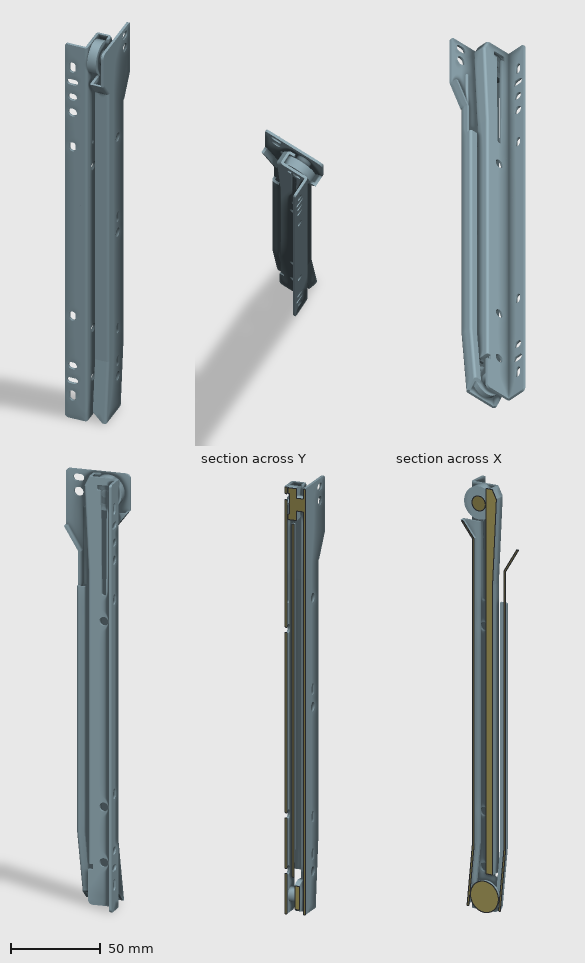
import cadquery as cq
import math

length = 250.0
depth = 24.8
sheet = 1.5
bend_radius = sheet

web_x = 12.0
rail_bottom = 3.0
rail_top = 21.0
ramp_start_z = 193.5
ramp_peak = (23.5, 244.5)
ramp_end_y = 20.8
runner_end_x = 21.0
lip_bottom = 16.2
runner_start_z = 23.8
notch_bottom = (18.2, 20.5)
web_corner_radius = 2.5
flange_top_radius = 1.5
flange_bottom_radius = 2.2

slot_x = 4.8
slot_width = 3.8
slot_length = 6.8
short_slot_length = 6.0
upright_slots = [
    (235.0, slot_length),
    (182.0, short_slot_length),
    (68.5, short_slot_length),
    (15.2, slot_length),
]
level_slot_zs = [225.2, 25.2]
oval_zs = [215.2, 35.2]
oval_length = 5.2
oval_width = 4.5
round_hole_z = 205.0
round_hole_diameter = 5.2

web_hole_y = 11.8
web_hole_zs = [166.2, 57.8, 25.2]
web_hole_diameter = 5.2

keyway_y = web_hole_y
keyway_bottom_z = 181.2
keyway_bottom_width = 2.8
keyway_top_width = 3.8
keyway_head_width = 8.2
keyway_head_bottom_z = 242.5
keyway_head_top_z = 245.8
keyway_head_radius = 0.8

channel_x = 16.5
channel_bottom = 7.5
channel_top = 29.5
cabinet_start_z = 0.8
taper = 3.8
taper_end_z = 40.0
flare_start_z = 219.0
flare_end_z = 228.8
lower_lip = 3.8
upper_lip = 4.8
upper_lip_end_z = 183.8
end_cut_height = 5.8
end_cut_width = 6.0

plate_top = 38.0
head_corner_z = 217.2
head_slope_end_z = 203.2
head_top_radius = 2.0
head_bottom_radius = 3.0
head_flange_x = 19.5

rib_y = 26.2
rib_radius = 1.2
rib_top_z = 229.5

head_hole_y = 30.5
head_slot_z = 245.2
head_slot_length = 6.5
head_slot_width = 4.2
head_hole_z = 237.0
head_hole_diameter = 5.5

plate_hole_y = 20.2
plate_hole_zs = [183.2, 119.5, 23.2]
plate_hole_diameter = 5.5
plate_slot_zs = [129.8, 55.2, 33.2]
plate_slot_width = 3.0
plate_slot_length = 6.5

cabinet_wheel_at = (keyway_y, 240.2)
cabinet_wheel_radius = 9.8
cabinet_wheel_x = (14.0, 19.2)
cabinet_axle_radius = 4.5
wheel_recess_radius = 6.2
wheel_recess_depth = 0.8
axle_end_radius = 2.2

drawer_wheel_at = (15.5, 10.2)
drawer_wheel_radius = 9.2
drawer_wheel_x = (18.2, 21.2)
drawer_axle_radius = 4.2


def side_plane(x):
    """Plane facing +X at the given x; its local axes are Y and Z."""
    return cq.Workplane("YZ", origin=(x, 0, 0))


def side_prism(points, x_start, x_end):
    """Extrude a (y, z) outline from x_start to x_end."""
    return side_plane(x_start).polyline(points).close().extrude(x_end - x_start)


def disc(centre, radius, x_start, x_end):
    return side_plane(x_start).center(*centre).circle(radius).extrude(x_end - x_start)


def block(x_range, y_range, z_range):
    sizes = [end - start for start, end in (x_range, y_range, z_range)]
    corner = (x_range[0], y_range[0], z_range[0])
    return cq.Workplane("XY").box(*sizes, centered=False).translate(corner)


def shifted(points, offset):
    """Shift every (y, z) point by an offset in y."""
    return [(y + offset, z) for y, z in points]


def runner():
    """Inverted channel along the top of the web, following the ramp at its end."""
    top_edge = [
        (rail_top, runner_start_z),
        (rail_top, ramp_start_z),
        ramp_peak,
        (ramp_end_y, length),
    ]
    shell = side_prism(
        [(lip_bottom, runner_start_z), *top_edge, (lip_bottom, length)], web_x, runner_end_x
    )
    bends = cq.selectors.BoxSelector(
        (web_x - sheet, lip_bottom + sheet, runner_start_z + sheet),
        (runner_end_x + sheet, ramp_peak[0] + sheet, length - sheet),
    )
    shell = shell.edges("not(|X)").edges(bends).fillet(bend_radius)
    cavity = side_prism(
        [(lip_bottom, runner_start_z), *shifted(top_edge, -sheet), (lip_bottom, length)],
        web_x + sheet,
        runner_end_x - sheet,
    )
    return shell.cut(cavity)


def drawer_web():
    """Upright web with the bent-over flange that carries the drawer."""
    web_range = (web_x, web_x + sheet)
    web = block(web_range, (rail_bottom, lip_bottom), (0, length))
    foot = block(web_range, (lip_bottom, rail_top), (0, notch_bottom[1]))
    foot = foot.edges("|X and >Y and <Z").fillet(web_corner_radius)
    notch_floor = block(web_range, (lip_bottom, notch_bottom[0]), (notch_bottom[1], runner_start_z))
    flange = block((0, web_x + sheet), (rail_bottom, rail_bottom + sheet), (0, length))
    flange = flange.edges("|Y and <X and >Z").fillet(flange_top_radius)
    flange = flange.edges("|Y and <X and <Z").fillet(flange_bottom_radius)
    angle = web.union(flange).edges("|Z and >X and <Y").fillet(bend_radius)
    return angle.union(foot).union(notch_floor)


def flange_holes():
    """Cutters for the screw slots in the drawer flange."""
    plane = cq.Workplane("XZ", origin=(slot_x, rail_bottom + sheet, 0))
    holes = plane.center(0, round_hole_z).circle(round_hole_diameter / 2).extrude(sheet)
    slots = [(z, size, slot_width, 90) for z, size in upright_slots]
    slots += [(z, slot_length, slot_width, 0) for z in level_slot_zs]
    slots += [(z, oval_length, oval_width, 0) for z in oval_zs]
    for z, size, width, angle in slots:
        holes = holes.union(plane.center(0, z).slot2D(size, width, angle).extrude(sheet))
    return holes


def web_holes():
    """Cutters for the round holes in the drawer web."""
    points = [(web_hole_y, z) for z in web_hole_zs]
    return side_plane(web_x).pushPoints(points).circle(web_hole_diameter / 2).extrude(sheet)


def keyway():
    """Cutter for the T-shaped tapered slot in the drawer web."""
    half_bottom = keyway_bottom_width / 2
    half_top = keyway_top_width / 2
    shoulder_z = keyway_bottom_z + half_bottom
    stem = (
        side_plane(web_x)
        .moveTo(keyway_y - half_top, keyway_head_bottom_z)
        .lineTo(keyway_y - half_bottom, shoulder_z)
        .threePointArc((keyway_y, keyway_bottom_z), (keyway_y + half_bottom, shoulder_z))
        .lineTo(keyway_y + half_top, keyway_head_bottom_z)
        .close()
        .extrude(sheet)
    )
    half_head = keyway_head_width / 2
    head = block(
        (web_x, web_x + sheet),
        (keyway_y - half_head, keyway_y + half_head),
        (keyway_head_bottom_z, keyway_head_top_z),
    ).edges("|X").fillet(keyway_head_radius)
    return stem.union(head)


def drawer_wheel():
    """Wheel at the lower end, with the axle that joins it to the web."""
    axle = disc(drawer_wheel_at, drawer_axle_radius, web_x + sheet, drawer_wheel_x[0])
    return axle.union(disc(drawer_wheel_at, drawer_wheel_radius, *drawer_wheel_x))


def make_drawer_rail():
    rail = drawer_web().union(runner())
    rail = rail.cut(flange_holes()).cut(web_holes()).cut(keyway())
    return rail.union(drawer_wheel())


lower_edge = [
    (0, flare_end_z),
    (channel_bottom, flare_start_z),
    (channel_bottom, taper_end_z),
    (channel_bottom - taper, cabinet_start_z),
]
upper_edge = [
    (channel_top - taper, cabinet_start_z),
    (channel_top, taper_end_z),
    (channel_top, upper_lip_end_z),
]


def channel():
    """C-shaped track: both flanges and their lips, all bends rounded except the lower lip's."""
    outline = lower_edge + upper_edge + [(channel_top, flare_end_z)]
    shell = side_prism(outline, channel_x, depth)
    back_bends = cq.selectors.BoxSelector(
        (depth - sheet, 0, cabinet_start_z + sheet),
        (depth + sheet, channel_top + sheet, flare_end_z - sheet),
    )
    upper_lip_bend = cq.selectors.BoxSelector(
        (channel_x - sheet, channel_top - taper, cabinet_start_z + sheet),
        (channel_x + sheet, channel_top + sheet, flare_end_z - sheet),
    )
    shell = shell.edges("not(|X)").edges(back_bends + upper_lip_bend).fillet(bend_radius)

    ceiling_end = (channel_top - sheet, flare_end_z)
    cavity = shifted(lower_edge, sheet) + shifted(upper_edge, -sheet) + [ceiling_end]
    shell = shell.cut(side_prism(cavity, channel_x + sheet, depth - sheet))

    lower_lip_edge = [
        (channel_bottom + lower_lip, flare_end_z),
        (channel_bottom + lower_lip, taper_end_z),
        (channel_bottom + lower_lip - taper, cabinet_start_z),
    ]
    opening = lower_lip_edge + shifted(upper_edge, -upper_lip)
    opening += [(plate_top, upper_lip_end_z), (plate_top, flare_end_z)]
    shell = shell.cut(side_prism(opening, channel_x, channel_x + sheet))

    above_lip = block(
        (channel_x, head_flange_x), (channel_top - upper_lip, plate_top), (upper_lip_end_z, length)
    )
    above_slope = block((channel_x, depth), (channel_top - sheet, plate_top), (head_slope_end_z, length))
    return shell.cut(above_lip).cut(above_slope).cut(oblique_end())


def oblique_end():
    """Cutter that trims the channel flanges obliquely at the lower end."""
    return (
        cq.Workplane("XZ")
        .polyline([
            (channel_x, cabinet_start_z),
            (channel_x, cabinet_start_z + end_cut_height),
            (channel_x + end_cut_width, cabinet_start_z),
        ])
        .close()
        .extrude(-plate_top)
    )


def head_plate():
    """Widened upper end of the back plate, with the flange along its sloping edge."""
    plate = side_prism(
        [
            (0, length),
            (0, flare_end_z),
            (channel_top - sheet, flare_end_z),
            (channel_top - sheet, head_slope_end_z),
            (channel_top, head_slope_end_z),
            (plate_top, head_corner_z),
            (plate_top, length),
        ],
        depth - sheet,
        depth,
    )
    plate = plate.edges("|X and >Z and >Y").fillet(head_top_radius)
    plate = plate.edges("|X and >Z and <Y").fillet(head_bottom_radius)
    slope_flange = side_prism(
        [
            (channel_top, head_slope_end_z),
            (plate_top, head_corner_z),
            (plate_top - sheet, head_corner_z),
            (channel_top - sheet, head_slope_end_z),
        ],
        head_flange_x,
        depth,
    )
    return plate.union(slope_flange)


def rib():
    """Half-round stiffening rib on the plate, running into the channel."""
    height = rib_top_z - upper_lip_end_z
    dome_start = height - rib_radius
    dome_middle = (rib_radius * math.sqrt(0.5), dome_start + rib_radius * math.sqrt(0.5))
    rod = (
        cq.Workplane("XZ")
        .lineTo(rib_radius, 0)
        .lineTo(rib_radius, dome_start)
        .threePointArc(dome_middle, (0, height))
        .close()
        .revolve(360, (0, 0), (0, 1))
    )
    return rod.translate((depth - sheet, rib_y, upper_lip_end_z))


def plate_holes():
    """Cutters for the screw holes in the back plate."""
    plane = side_plane(depth - sheet)
    rounds = [(plate_hole_y, z) for z in plate_hole_zs]
    slots = [(plate_hole_y, z) for z in plate_slot_zs]
    holes = plane.pushPoints(rounds).circle(plate_hole_diameter / 2).extrude(sheet)
    upright = plane.pushPoints(slots).slot2D(plate_slot_length, plate_slot_width, 90).extrude(sheet)
    head_slot = plane.center(head_hole_y, head_slot_z).slot2D(head_slot_length, head_slot_width)
    head_slot = head_slot.extrude(sheet)
    head_hole = disc((head_hole_y, head_hole_z), head_hole_diameter / 2, depth - sheet, depth)
    return holes.union(upright).union(head_slot).union(head_hole)


def cabinet_wheel():
    """Wheel at the upper end, with the axle that joins it to the plate."""
    axle = disc(cabinet_wheel_at, cabinet_axle_radius, cabinet_wheel_x[1], depth - sheet)
    wheel = axle.union(disc(cabinet_wheel_at, cabinet_wheel_radius, *cabinet_wheel_x))
    face_x = cabinet_wheel_x[0]
    recess_x = (face_x, face_x + wheel_recess_depth)
    recess = disc(cabinet_wheel_at, wheel_recess_radius, *recess_x)
    return wheel.cut(recess).union(disc(cabinet_wheel_at, axle_end_radius, *recess_x))


def make_cabinet_rail():
    rail = channel().union(head_plate()).union(rib()).cut(plate_holes())
    return rail.union(cabinet_wheel())


drawer_rail = make_drawer_rail()
cabinet_rail = make_cabinet_rail()
result = cq.Compound.makeCompound([drawer_rail.val(), cabinet_rail.val()])